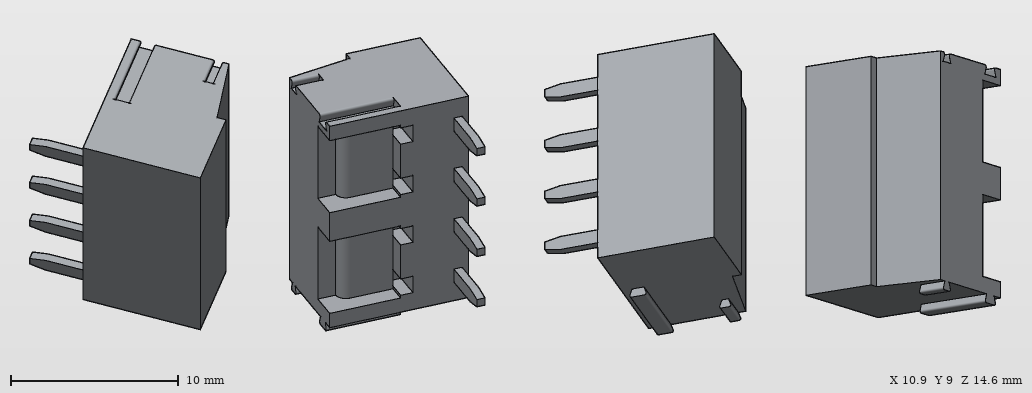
import cadquery as cq

BODY_WIDTH = 7.39
BODY_DEPTH = 9.0
BODY_HEIGHT = 14.0
STEP_Y = 4.8
STEP_X = 6.82
BACK_RIGHT_X = 6.15

CONTACT_COUNT = 4
PITCH = BODY_HEIGHT / CONTACT_COUNT

PIN_LENGTH = 3.5
PIN_HEIGHT = 0.9
PIN_TIP_HEIGHT = 0.51
PIN_TAPER_LENGTH = 1.0
PIN_THICKNESS = 0.54
PIN_FRONT_Y = 0.42

WINDOW_COUNT = CONTACT_COUNT // 2
WINDOW_PITCH = BODY_HEIGHT / WINDOW_COUNT
WINDOW_HEIGHT = 5.0
WINDOW_FRONT_Y = 4.41
WINDOW_DEEP = 1.82
WINDOW_SHALLOW = 1.16
LEDGE_RADIUS = WINDOW_DEEP - WINDOW_SHALLOW
LEDGE_BACK_Y = BODY_DEPTH - 1.16

NOTCH_WIDTH = 0.8
NOTCH_HEIGHT = 1.13

RIB_HEIGHT = 0.55
RIB_TIP_RADIUS = 0.12
RIB_FLARE = 0.19
SLOT_DEPTH = 0.58
SLOT_FLARE = 0.2
SLOT_LIP_RADIUS = 0.15

WIDE_JOINT_X = 1.05
WIDE_JOINT_LENGTH = 4.8
WIDE_RIB_ROOT = 0.75
WIDE_SLOT_MOUTH = 0.73

NARROW_JOINT_X = 5.49
NARROW_JOINT_LENGTH = 1.76
NARROW_RIB_ROOT = 0.42
NARROW_SLOT_MOUTH = 0.36


def make_body():
    """Housing block with a step and a sloping wall at the right rear."""
    outline = [
        (0, 0),
        (BODY_WIDTH, 0),
        (BODY_WIDTH, STEP_Y),
        (STEP_X, STEP_Y),
        (BACK_RIGHT_X, BODY_DEPTH),
        (0, BODY_DEPTH),
    ]
    return cq.Workplane("XY").polyline(outline).close().extrude(BODY_HEIGHT)


def make_window(center_z):
    """Window void: shallow at the front, then a rounded ledge down to a deeper back."""
    return (
        cq.Workplane("XY", origin=(0, 0, center_z - WINDOW_HEIGHT / 2))
        .moveTo(0, WINDOW_FRONT_Y)
        .lineTo(WINDOW_SHALLOW, WINDOW_FRONT_Y)
        .lineTo(WINDOW_SHALLOW, LEDGE_BACK_Y - LEDGE_RADIUS)
        .radiusArc((WINDOW_DEEP, LEDGE_BACK_Y), LEDGE_RADIUS)
        .lineTo(WINDOW_DEEP, BODY_DEPTH)
        .lineTo(0, BODY_DEPTH)
        .close()
        .extrude(WINDOW_HEIGHT)
    )


def make_notch(center_z):
    """Pocket in the left face that opens into the front of a window."""
    return (
        cq.Workplane("XY")
        .box(WINDOW_DEEP, NOTCH_WIDTH, NOTCH_HEIGHT, centered=(False, False, True))
        .translate((0, WINDOW_FRONT_Y - NOTCH_WIDTH, center_z))
    )


def make_pin(center_z):
    """Flat pin with its tip tapered in height."""
    outline = [
        (0, PIN_HEIGHT / 2),
        (PIN_TAPER_LENGTH - PIN_LENGTH, PIN_HEIGHT / 2),
        (-PIN_LENGTH, PIN_TIP_HEIGHT / 2),
        (-PIN_LENGTH, -PIN_TIP_HEIGHT / 2),
        (PIN_TAPER_LENGTH - PIN_LENGTH, -PIN_HEIGHT / 2),
        (0, -PIN_HEIGHT / 2),
    ]
    return (
        cq.Workplane("XZ", origin=(0, PIN_FRONT_Y, center_z))
        .polyline(outline)
        .close()
        .extrude(-PIN_THICKNESS)
    )


def make_dovetail(origin, length, narrow_width, flare, height):
    """Bar running forward from the origin, widening downwards by the flare on each side."""
    wide_width = narrow_width + 2 * flare
    outline = [
        (-narrow_width / 2, 0),
        (-wide_width / 2, -height),
        (wide_width / 2, -height),
        (narrow_width / 2, 0),
    ]
    return cq.Workplane("XZ", origin=origin).polyline(outline).close().extrude(length)


def make_rib(center_x, length, root_width):
    """Dovetail rib below the housing with rounded tip edges."""
    rib = make_dovetail((center_x, BODY_DEPTH, 0), length, root_width, RIB_FLARE, RIB_HEIGHT)
    return rib.faces("<Z").edges("|Y").fillet(RIB_TIP_RADIUS)


def cut_slot(body, center_x, length, mouth_width):
    """Cut an undercut slot into the top, open at the back, and round its two lips."""
    slot = make_dovetail(
        (center_x, BODY_DEPTH, BODY_HEIGHT), length, mouth_width, SLOT_FLARE, SLOT_DEPTH
    )
    lip_middle_y = BODY_DEPTH - length / 2
    body = body.cut(slot)
    for side in (-1, 1):
        lip = cq.selectors.NearestToPointSelector(
            (center_x + side * mouth_width / 2, lip_middle_y, BODY_HEIGHT)
        )
        body = body.edges(lip).fillet(SLOT_LIP_RADIUS)
    return body


body = make_body()
body = cut_slot(body, WIDE_JOINT_X, WIDE_JOINT_LENGTH, WIDE_SLOT_MOUTH)
body = cut_slot(body, NARROW_JOINT_X, NARROW_JOINT_LENGTH, NARROW_SLOT_MOUTH)

for index in range(WINDOW_COUNT):
    body = body.cut(make_window((index + 0.5) * WINDOW_PITCH))

for index in range(CONTACT_COUNT):
    contact_z = (index + 0.5) * PITCH
    body = body.cut(make_notch(contact_z))
    body = body.union(make_pin(contact_z))

body = body.union(make_rib(WIDE_JOINT_X, WIDE_JOINT_LENGTH, WIDE_RIB_ROOT))
body = body.union(make_rib(NARROW_JOINT_X, NARROW_JOINT_LENGTH, NARROW_RIB_ROOT))
result = body